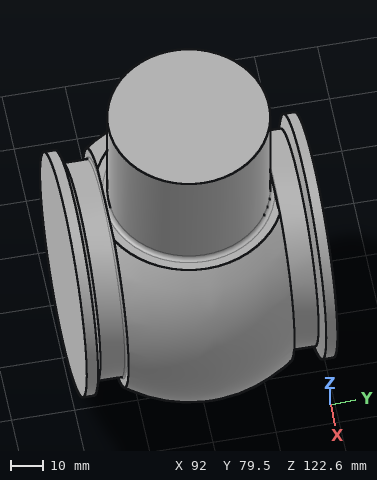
import cadquery as cq
import math

BODY_DIAMETER = 92.05
BODY_RADIUS = BODY_DIAMETER / 2
TOP_FLAT = 35.2
SIDE_FLAT = 26.3

RISER_RADIUS = 50.8 / 2
RISER_ROOT_FILLET = 1.5
OVERALL_HEIGHT = 122.61
RISER_TOP = OVERALL_HEIGHT - BODY_RADIUS

FACE_TO_FACE = 79.5
FERRULE_FACE = FACE_TO_FACE / 2
FLANGE_RADIUS = 77.5 / 2
FLANGE_RIM_WIDTH = 3.6
NECK_RADIUS = 68.8 / 2
NECK_ROOT_FILLET = 0.6
CLAMP_TAPER_ANGLE = 20.0


def concave_arc_midpoint(radius, level, fillet):
    """Middle of the quarter arc joining a shaft to the flat it stands on."""
    sag = fillet * (1 - math.sqrt(0.5))
    return (radius + sag, level + sag)


def make_body():
    """Ball cut flat on top and on both ferrule sides."""
    ball = cq.Workplane("XY").sphere(BODY_RADIUS)
    envelope = cq.Workplane("XY").box(
        BODY_DIAMETER, 2 * SIDE_FLAT, BODY_RADIUS + TOP_FLAT, centered=(True, True, False)
    ).translate((0, 0, -BODY_RADIUS))
    return ball.intersect(envelope)


def make_riser():
    """Solid cylinder with a filleted root, trimmed level with the side flats."""
    riser = (
        cq.Workplane("XZ")
        .lineTo(RISER_RADIUS + RISER_ROOT_FILLET, 0)
        .lineTo(RISER_RADIUS + RISER_ROOT_FILLET, TOP_FLAT)
        .threePointArc(
            concave_arc_midpoint(RISER_RADIUS, TOP_FLAT, RISER_ROOT_FILLET),
            (RISER_RADIUS, TOP_FLAT + RISER_ROOT_FILLET),
        )
        .lineTo(RISER_RADIUS, RISER_TOP)
        .lineTo(0, RISER_TOP)
        .close()
        .revolve(360, (0, 0), (0, 1))
    )
    trim = cq.Workplane("XY").box(
        BODY_DIAMETER, 2 * SIDE_FLAT, RISER_TOP, centered=(True, True, False)
    )
    return riser.intersect(trim)


def make_ferrule():
    """Neck and tapered clamp flange on the +Y side."""
    taper_width = (FLANGE_RADIUS - NECK_RADIUS) * math.tan(math.radians(CLAMP_TAPER_ANGLE))
    rim_back = FERRULE_FACE - FLANGE_RIM_WIDTH
    return (
        cq.Workplane("XY")
        .lineTo(NECK_RADIUS + NECK_ROOT_FILLET, 0)
        .lineTo(NECK_RADIUS + NECK_ROOT_FILLET, SIDE_FLAT)
        .threePointArc(
            concave_arc_midpoint(NECK_RADIUS, SIDE_FLAT, NECK_ROOT_FILLET),
            (NECK_RADIUS, SIDE_FLAT + NECK_ROOT_FILLET),
        )
        .lineTo(NECK_RADIUS, rim_back - taper_width)
        .lineTo(FLANGE_RADIUS, rim_back)
        .lineTo(FLANGE_RADIUS, FERRULE_FACE)
        .lineTo(0, FERRULE_FACE)
        .close()
        .revolve(360, (0, 0), (0, 1))
    )


ferrule = make_ferrule()
result = make_body().union(make_riser()).union(ferrule).union(ferrule.mirror("XZ"))